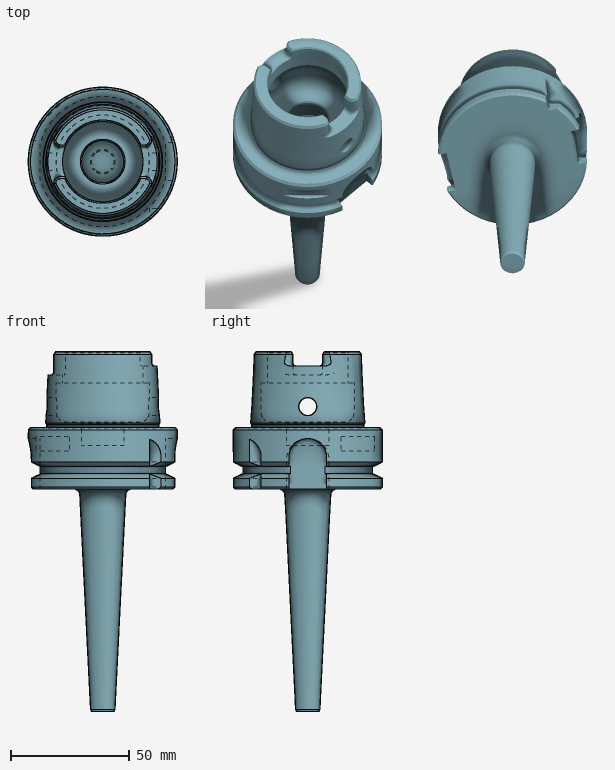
import cadquery as cq
import math


taper_length = 32.0
taper_base_radius = 24.25
taper_slope = 1 / 20
rim_bevel_height = 1.1
rim_bevel_width = 0.8
relief_height = 1.8
relief_depth = 0.5
recess_radius = 25.3
recess_depth = 0.3

flange_radius = 31.5
flange_height = 26.0
flange_top_bevel = 1.0
flange_bottom_bevel = 0.8
groove_floor_radius = 27.5
groove_shoulder_radius = 28.4
groove_center_z = -18.05
groove_floor_width = 3.0
groove_shoulder_width = 3.7
groove_mouth_width = 6.9

nose_length = 120.0
nose_top_radius = 9.75
nose_tip_radius = 5.2
nose_root_fillet = 2.6
nose_tip_bevel_height = 1.0
nose_tip_bevel_width = 0.5

mouth_radius = 17.0
mouth_bevel = 0.6
mouth_depth = 13.3
cavity_radius = 19.7
cavity_floor_z = 2.3
cavity_floor_fillet = 4.0
thread_hole_radius = 8.9
thread_hole_bevel = 0.55
thread_hole_depth = 10.0

cross_hole_diameter = 7.5
cross_hole_z = 8.8

keyway_width = 12.54
keyway_corner_radius = 3.0
keyway_shoulder_x = 20.7
keyway_blend_run = 10.0
keyway_floor_fillet = 1.4
deep_keyway_depth = 9.8
shallow_keyway_depth = 6.0

wide_drive_slot_width = 18.0
narrow_drive_slot_width = 16.0
drive_slot_floor_x = 26.5
drive_slot_top_z = -4.7

notch_wall = 19.7
notch_runout_radius = 8.0
notch_runout_z = -12.4

carrier_flat_distance = 29.87
carrier_flat_height = 6.1
carrier_flat_center_z = -6.85
carrier_flat_direction = 135.0

cutter_overlap = 1.0

rim_z = taper_length
flange_bottom_z = -flange_height
nose_tip_z = -nose_length


def turned_body():
    """Outer turned shape, revolved about Z."""
    rim_radius = taper_base_radius - taper_length * taper_slope
    relief_top_radius = taper_base_radius - relief_height * taper_slope
    relief_radius = taper_base_radius - relief_depth
    half_floor = groove_floor_width / 2
    half_shoulder = groove_shoulder_width / 2
    half_mouth = groove_mouth_width / 2
    fillet_side = nose_root_fillet * math.sqrt(0.5)
    fillet_center_r = nose_top_radius + nose_root_fillet
    fillet_center_z = flange_bottom_z - nose_root_fillet
    profile = (
        cq.Workplane("XZ")
        .moveTo(0, rim_z)
        .lineTo(rim_radius - rim_bevel_width, rim_z)
        .lineTo(rim_radius + rim_bevel_height * taper_slope, rim_z - rim_bevel_height)
        .lineTo(relief_top_radius, relief_height)
        .lineTo(relief_radius, relief_height - relief_depth)
        .lineTo(relief_radius, -recess_depth)
        .lineTo(recess_radius - recess_depth, -recess_depth)
        .lineTo(recess_radius, 0)
        .lineTo(flange_radius - flange_top_bevel, 0)
        .lineTo(flange_radius, -flange_top_bevel)
        .lineTo(flange_radius, groove_center_z + half_mouth)
        .lineTo(groove_shoulder_radius, groove_center_z + half_shoulder)
        .lineTo(groove_floor_radius, groove_center_z + half_floor)
        .lineTo(groove_floor_radius, groove_center_z - half_floor)
        .lineTo(groove_shoulder_radius, groove_center_z - half_shoulder)
        .lineTo(flange_radius, groove_center_z - half_mouth)
        .lineTo(flange_radius, flange_bottom_z + flange_bottom_bevel)
        .lineTo(flange_radius - flange_bottom_bevel, flange_bottom_z)
        .lineTo(fillet_center_r, flange_bottom_z)
        .threePointArc(
            (fillet_center_r - fillet_side, fillet_center_z + fillet_side),
            (nose_top_radius, fillet_center_z),
        )
        .lineTo(nose_tip_radius, nose_tip_z + nose_tip_bevel_height)
        .lineTo(nose_tip_radius - nose_tip_bevel_width, nose_tip_z)
        .lineTo(0, nose_tip_z)
        .close()
    )
    return profile.revolve(360, (0, 0, 0), (0, 1, 0))


def cavity():
    """Stepped cavity with a filleted floor and a central blind hole."""
    mouth_bottom_z = rim_z - mouth_depth
    fillet_side = cavity_floor_fillet * math.sqrt(0.5)
    fillet_center_r = cavity_radius - cavity_floor_fillet
    fillet_center_z = cavity_floor_z + cavity_floor_fillet
    hole_bottom_z = cavity_floor_z - thread_hole_depth
    profile = (
        cq.Workplane("XZ")
        .moveTo(0, rim_z)
        .lineTo(mouth_radius + mouth_bevel, rim_z)
        .lineTo(mouth_radius, rim_z - mouth_bevel)
        .lineTo(mouth_radius, mouth_bottom_z)
        .lineTo(cavity_radius, mouth_bottom_z)
        .lineTo(cavity_radius, fillet_center_z)
        .threePointArc(
            (fillet_center_r + fillet_side, fillet_center_z - fillet_side),
            (fillet_center_r, cavity_floor_z),
        )
        .lineTo(thread_hole_radius + thread_hole_bevel, cavity_floor_z)
        .lineTo(thread_hole_radius, cavity_floor_z - thread_hole_bevel)
        .lineTo(thread_hole_radius, hole_bottom_z)
        .lineTo(0, hole_bottom_z)
        .close()
    )
    return profile.revolve(360, (0, 0, 0), (0, 1, 0))


def cross_hole():
    """Round hole along X through both shank walls."""
    return (
        cq.Workplane("YZ")
        .center(0, cross_hole_z)
        .circle(cross_hole_diameter / 2)
        .extrude(taper_base_radius + cutter_overlap, both=True)
    )


def keyway_outline(side, z):
    """Keyway outline on side +1 (+X) or -1 (-X).

    Each side wall ends in an arc, followed by a line that is square to the radius through the arc
    center, so the rounded wall end blends into the taper.
    """
    half_width = keyway_width / 2
    radius = keyway_corner_radius
    inner_x = side * mouth_radius / 2
    corner_x = keyway_shoulder_x - radius
    corner_y = half_width + radius
    blend_angle = math.atan2(corner_y, corner_x)
    mid_angle = (blend_angle - math.pi / 2) / 2
    arc_mid_x = side * (corner_x + radius * math.cos(mid_angle))
    arc_mid_y = corner_y + radius * math.sin(mid_angle)
    blend_x = side * (corner_x + radius * math.cos(blend_angle))
    blend_y = corner_y + radius * math.sin(blend_angle)
    outer_x = blend_x - side * keyway_blend_run * math.sin(blend_angle)
    outer_y = blend_y + keyway_blend_run * math.cos(blend_angle)
    far_x = side * (taper_base_radius + keyway_blend_run)
    return (
        cq.Workplane("XY", origin=(0, 0, z))
        .moveTo(inner_x, -half_width)
        .lineTo(side * corner_x, -half_width)
        .threePointArc((arc_mid_x, -arc_mid_y), (blend_x, -blend_y))
        .lineTo(outer_x, -outer_y)
        .lineTo(far_x, -outer_y)
        .lineTo(far_x, outer_y)
        .lineTo(outer_x, outer_y)
        .lineTo(blend_x, blend_y)
        .threePointArc((arc_mid_x, arc_mid_y), (side * corner_x, half_width))
        .lineTo(inner_x, half_width)
        .close()
    )


def keyway(side, depth):
    """Keyway cutter with a filleted floor and a bevel along its top edges."""
    channel = keyway_outline(side, rim_z - depth).extrude(depth)
    channel = channel.faces("<Z").edges().fillet(keyway_floor_fillet)
    bevel_angle = math.degrees(math.atan(rim_bevel_width / rim_bevel_height))
    bevel = keyway_outline(side, rim_z - rim_bevel_height).extrude(rim_bevel_height, taper=-bevel_angle)
    return channel.union(bevel)


def drive_slot(side, width):
    """Slot that is open at the flange bottom and has a round top."""
    radius = width / 2
    center_z = drive_slot_top_z - radius
    height = center_z - flange_bottom_z
    depth = side * (flange_radius - drive_slot_floor_x + cutter_overlap)
    plane = cq.Workplane("YZ", origin=(side * drive_slot_floor_x, 0, 0))
    round_top = plane.center(0, center_z).circle(radius).extrude(depth)
    straight = plane.center(0, center_z - height / 2).rect(width, height).extrude(depth)
    return round_top.union(straight)


def index_notch():
    """Square corner notch in the +X -Y quarter whose -Y wall runs out along an arc."""
    outer = flange_radius + cutter_overlap
    runout_center_y = -notch_wall - notch_runout_radius
    side = notch_runout_radius * math.sqrt(0.5)
    profile = (
        cq.Workplane("YZ", origin=(notch_wall, 0, 0))
        .moveTo(-notch_wall, flange_bottom_z)
        .lineTo(-notch_wall, notch_runout_z)
        .threePointArc(
            (runout_center_y + side, notch_runout_z + side),
            (runout_center_y, notch_runout_z + notch_runout_radius),
        )
        .lineTo(-outer, notch_runout_z + notch_runout_radius)
        .lineTo(-outer, flange_bottom_z)
        .close()
    )
    return profile.extrude(outer - notch_wall)


def carrier_flat():
    """Shallow flat on the flange rim facing the -X +Y diagonal."""
    thickness = flange_radius - carrier_flat_distance + cutter_overlap
    return (
        cq.Workplane("XY")
        .box(thickness, flange_radius, carrier_flat_height)
        .translate((carrier_flat_distance + thickness / 2, 0, carrier_flat_center_z))
        .rotate((0, 0, 0), (0, 0, 1), carrier_flat_direction)
    )


body = turned_body().cut(cavity()).cut(cross_hole())
body = body.cut(keyway(-1, deep_keyway_depth)).cut(keyway(1, shallow_keyway_depth))
body = body.cut(drive_slot(-1, wide_drive_slot_width))
body = body.cut(drive_slot(1, narrow_drive_slot_width))
body = body.cut(index_notch()).cut(carrier_flat())
result = body